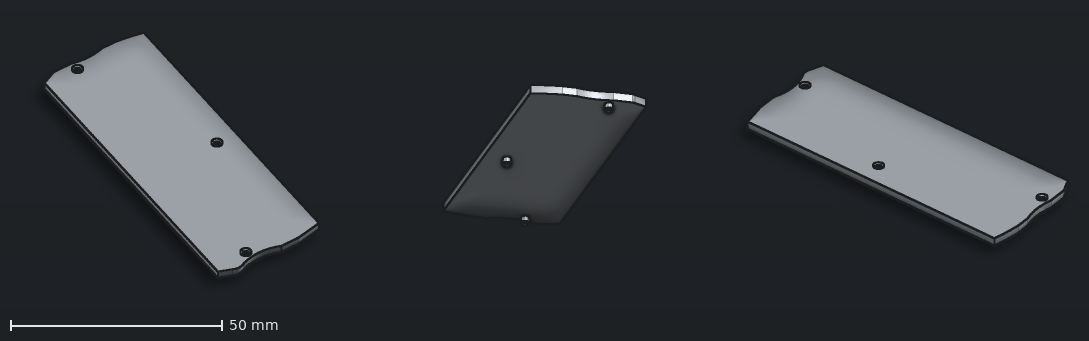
import cadquery as cq

length = 77.0
width = 28.7
total_height = 4.1
plate_thickness = 2.2
half_length = length / 2
half_width = width / 2

back_left_x = -37.1
back_right_x = 37.2
front_corner_x = 36.8

left_shoulder_middle = (-37.95, 10.55)
left_shoulder_end_y = 6.8
left_hollow_back_y = 3.3
left_hollow_front_y = -5.8
left_hollow_depth = 0.6
left_corner_start_y = -10.4
left_corner_middle = (-38.4, -10.8)
left_corner_end = (-38.3, -11.1)

right_flat_x = 38.35
right_flat_back_y = 7.85
right_hollow_back_y = 2.85
right_hollow_bottom = (37.1, -2.6)
right_hollow_front = (37.95, -7.6)
right_nose_tip = (half_length, -9.55)
right_nose_end = (38.1, -11.0)

fastener_places = [(2.1, 8.8), (-36.1, -5.3), (35.3, -5.3)]
recess_top_diameter = 2.6
socket_diameter = 1.5
socket_depth = 1.15
recess_depth = 0.4
pin_diameter = 2.0
pin_chamfer_width = 0.15
pin_chamfer_height = 0.5
pin_length = total_height - plate_thickness


def make_plate():
    """Plate with wavy ends; its underside lies on Z = 0."""
    left_hollow_middle_y = (left_hollow_back_y + left_hollow_front_y) / 2
    outline = (
        cq.Workplane("XY")
        .moveTo(back_right_x, half_width)
        .lineTo(back_left_x, half_width)
        .threePointArc(left_shoulder_middle, (-half_length, left_shoulder_end_y))
        .lineTo(-half_length, left_hollow_back_y)
        .threePointArc(
            (-half_length + left_hollow_depth, left_hollow_middle_y),
            (-half_length, left_hollow_front_y),
        )
        .lineTo(-half_length, left_corner_start_y)
        .threePointArc(left_corner_middle, left_corner_end)
        .lineTo(-front_corner_x, -half_width)
        .lineTo(front_corner_x, -half_width)
        .lineTo(*right_nose_end)
        .threePointArc(right_nose_tip, right_hollow_front)
        .threePointArc(right_hollow_bottom, (right_flat_x, right_hollow_back_y))
        .lineTo(right_flat_x, right_flat_back_y)
        .close()
    )
    return outline.extrude(plate_thickness)


def make_pins():
    """Pins hanging below the plate, chamfered at their free ends."""
    return (
        cq.Workplane("XY")
        .pushPoints(fastener_places)
        .circle(pin_diameter / 2)
        .extrude(-pin_length)
        .faces("<Z")
        .edges()
        .chamfer(pin_chamfer_height, pin_chamfer_width)
    )


def make_recesses():
    """Conical mouths in the plate top, each leading into a flat-bottomed socket."""
    recesses = cq.Workplane("XY")
    for x, y in fastener_places:
        cone = cq.Solid.makeCone(
            recess_top_diameter / 2,
            socket_diameter / 2,
            recess_depth,
            pnt=cq.Vector(x, y, plate_thickness),
            dir=cq.Vector(0, 0, -1),
        )
        socket = cq.Solid.makeCylinder(
            socket_diameter / 2,
            socket_depth,
            pnt=cq.Vector(x, y, plate_thickness),
            dir=cq.Vector(0, 0, -1),
        )
        recesses = recesses.add(cone.fuse(socket))
    return recesses.combine()


result = make_plate().union(make_pins()).cut(make_recesses())